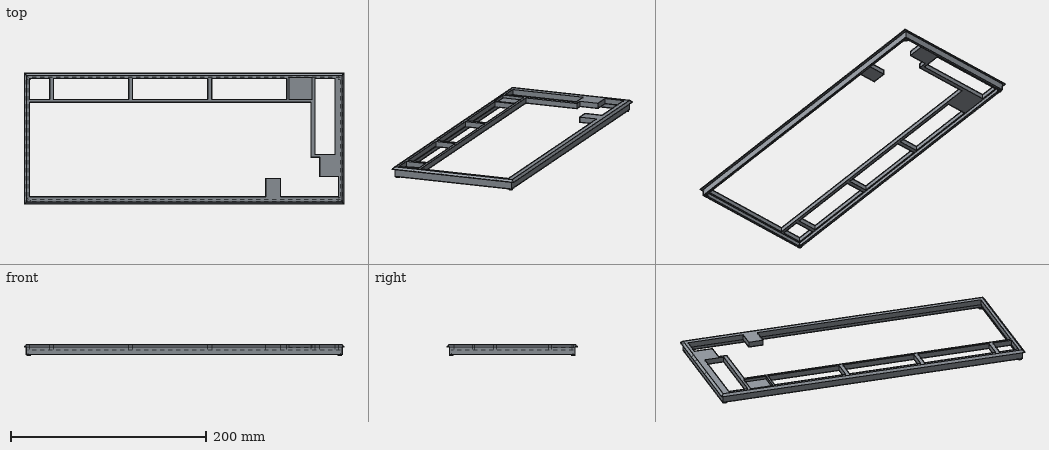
import cadquery as cq

length = 328.0
width = 134.0
height = 11.0

flange_height = 2.3
flange_bottom = height - flange_height

side_wall_inset = 2.0
end_wall_inset = 2.5
wall_thickness = 2.0
foot_height = 1.0
foot_diameter = 4.0
side_foot_inset = 2.5
end_foot_inset = end_wall_inset

deck_thickness = 5.5
deck_bottom = height - deck_thickness
full_height = (0, height)

left_margin = 5.5
rear_margin = 5.5
front_rim_rear = width - 7.5
row_bar_rear = 27.0
row_bar_front = 29.8

small_window_width = 20.3
long_window_width = 76.7
long_window_count = 3
first_long_window = 30.0
long_window_pitch = 81.0

side_window_left = 298.0
side_window_right = 318.3
side_window_front = 83.3
side_bar_left = 293.7
side_bar_front = 86.2
block_left = 302.5
block_front = 106.0
corner_right = 322.0

tab_left = 247.2
tab_right = 262.5
tab_rear = 108.0

badge_left = 271.0
badge_right = 295.0
badge_rear = 4.3
badge_front = 27.0
badge_depth = 3.0


def make_box(x_span, y_span, z_span):
    """Box spanning X from the left edge, Y from the rear edge and Z from the feet."""
    left, right = x_span
    rear, front = y_span
    bottom, top = z_span
    block = cq.Workplane("XY").box(right - left, front - rear, top - bottom, centered=False)
    return block.translate((left - length / 2, width / 2 - front, bottom))


def make_inset_box(side_inset, end_inset, z_span):
    """Box inset equally from the left and right, and from the front and rear."""
    return make_box((side_inset, length - side_inset), (end_inset, width - end_inset), z_span)


def make_flange():
    """Plate bevelled at 45 degrees on all four sides."""
    plate = make_inset_box(0, 0, (flange_bottom, height))
    slope = (
        cq.Workplane("XY", origin=(0, 0, flange_bottom))
        .rect(length, width)
        .extrude(flange_height, taper=45)
    )
    return plate.intersect(slope)


def make_wall_and_deck():
    """Solid block under the flange, hollowed from below up to the deck."""
    block = make_inset_box(side_wall_inset, end_wall_inset, (foot_height, flange_bottom))
    hollow = make_inset_box(
        side_wall_inset + wall_thickness,
        end_wall_inset + wall_thickness,
        (foot_height, deck_bottom),
    )
    return block.cut(hollow)


def make_main_opening():
    """Large opening, stepped around the side bar and block, with the tab left standing."""
    opening = make_box((left_margin, side_bar_left), (row_bar_front, front_rim_rear), full_height)
    beside_bar = make_box((side_bar_left, block_left), (side_bar_front, front_rim_rear), full_height)
    corner = make_box((block_left, corner_right), (block_front, front_rim_rear), full_height)
    tab = make_box((tab_left, tab_right), (tab_rear, front_rim_rear), full_height)
    return opening.union(beside_bar).union(corner).cut(tab)


def make_windows():
    """Row of windows along the rear, plus the tall window on the right."""
    row_span = (rear_margin, row_bar_rear)
    windows = make_box((left_margin, left_margin + small_window_width), row_span, full_height)
    for index in range(long_window_count):
        left = first_long_window + index * long_window_pitch
        windows = windows.union(make_box((left, left + long_window_width), row_span, full_height))
    side_span = (side_window_left, side_window_right)
    return windows.union(make_box(side_span, (rear_margin, side_window_front), full_height))


def make_badge_recess():
    return make_box((badge_left, badge_right), (badge_rear, badge_front), (height - badge_depth, height))


def make_feet():
    """Round feet in the four corners, standing in the underside of the wall."""
    radius = foot_diameter / 2
    spacing_x = length - 2 * (side_foot_inset + radius)
    spacing_y = width - 2 * (end_foot_inset + radius)
    return (
        cq.Workplane("XY")
        .rect(spacing_x, spacing_y, forConstruction=True)
        .vertices()
        .circle(radius)
        .extrude(foot_height)
    )


result = (
    make_flange()
    .union(make_wall_and_deck())
    .cut(make_main_opening())
    .cut(make_windows())
    .cut(make_badge_recess())
    .union(make_feet())
)